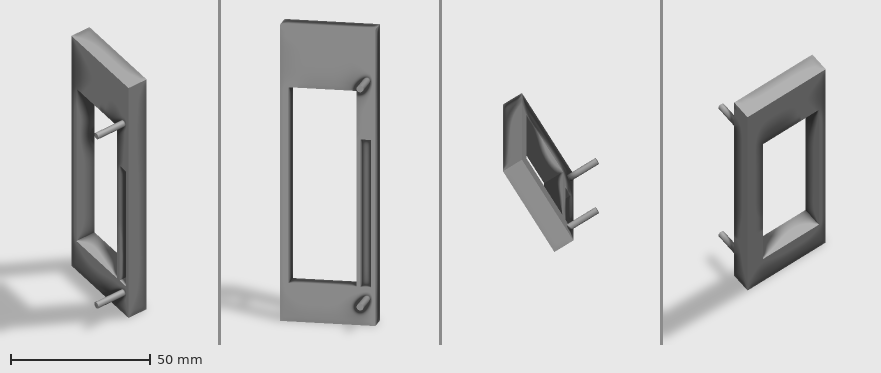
import cadquery as cq

plate_width = 35.0
plate_thickness = 8.0
plate_height = 110.0

window_left = 3.1
window_width = 25.0
window_bottom = 14.0
window_height = 72.9

slot_left = 29.5
slot_width = 4.0
slot_height = 55.0
slot_depth = 4.0

pin_diameter = 2.5
pin_length = 12.0
pin_x = 31.9
lower_pin_z = 10.0
pin_spacing = 81.0


def front_pocket(left, bottom, width, height, depth):
    """Box that reaches from the front face into the plate."""
    return cq.Workplane("XY").box(width, depth, height, centered=False).translate((left, 0, bottom))


def pin(z):
    """Round pin pointing forward from the front face."""
    return (
        cq.Workplane("XZ")
        .center(pin_x, z)
        .circle(pin_diameter / 2)
        .extrude(pin_length)
    )


result = cq.Workplane("XY").box(plate_width, plate_thickness, plate_height, centered=False)
result = result.cut(front_pocket(window_left, window_bottom, window_width, window_height, plate_thickness))
result = result.cut(front_pocket(slot_left, window_bottom, slot_width, slot_height, slot_depth))

for pin_z in (lower_pin_z, lower_pin_z + pin_spacing):
    result = result.union(pin(pin_z))